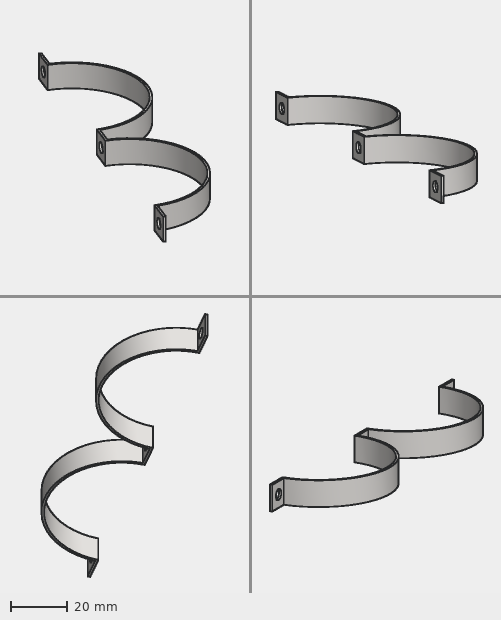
import cadquery as cq

length = 140.0
strip_width = 10.0
thickness = 1.0
tab_length = 10.0
hole_diameter = 4.0

pitch = (length - tab_length) / 2
inner_radius = (pitch - tab_length) / 2
outer_radius = inner_radius + thickness
saddle_centers = [-pitch / 2, pitch / 2]
tab_centers = [-pitch, 0, pitch]


def cylinder(x, radius):
    """Full-height cylinder standing on the mounting plane's edge at x."""
    return cq.Workplane("XY").center(x, 0).circle(radius).extrude(strip_width)


strap = cq.Workplane("XY").box(length, thickness, strip_width, centered=(True, False, False))

back_half = cq.Workplane("XY").box(length, outer_radius, strip_width, centered=(True, False, False))
for x in saddle_centers:
    strap = strap.union(cylinder(x, outer_radius).intersect(back_half))

for x in saddle_centers:
    strap = strap.cut(cylinder(x, inner_radius))

screw_holes = (
    cq.Workplane("XZ")
    .pushPoints([(x, strip_width / 2) for x in tab_centers])
    .circle(hole_diameter / 2)
    .extrude(-thickness)
)
result = strap.cut(screw_holes)